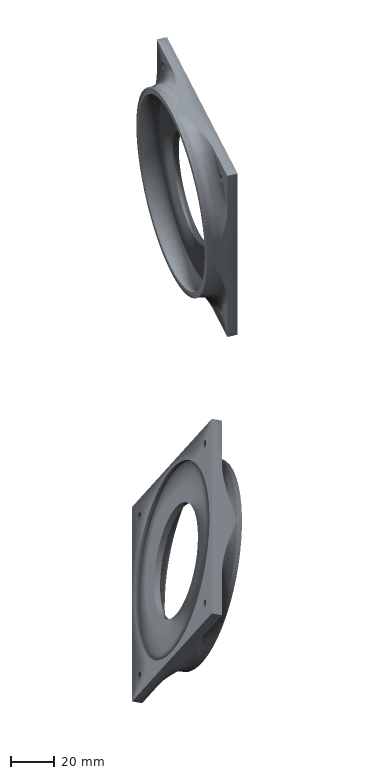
import cadquery as cq

side = 100.0
depth = 15.0
plate_thickness = 5.0
rim_height = 2.5
floor_thickness = 3.0
back_recess_depth = 2.0
rim_wall = 3.0
opening_diameter = 55.0
screw_diameter = 4.0
screw_spacing = 82.0

rim_radius = side / 2
flare_radius = depth - plate_thickness - rim_height
pocket_radius = rim_radius - rim_wall
back = depth / 2
front = -depth / 2
plate_front = back - plate_thickness
flare_start = front + rim_height
floor_back = back - back_recess_depth
floor_front = floor_back - floor_thickness


def square_block():
    """Square envelope that trims the flare flush with the plate sides."""
    return cq.Workplane("XY").box(side, depth, side)


def square_plate():
    center_y = back - plate_thickness / 2
    return cq.Workplane("XY").box(side, plate_thickness, side).translate((0, center_y, 0))


def flared_rim():
    """Round rim that sweeps out onto the plate through a concave quarter arc."""
    arc_offset = flare_radius * (1 - 0.5 ** 0.5)
    profile = (
        cq.Workplane("XY")
        .moveTo(0, front)
        .lineTo(rim_radius, front)
        .lineTo(rim_radius, flare_start)
        .threePointArc(
            (rim_radius + arc_offset, plate_front - arc_offset),
            (rim_radius + flare_radius, plate_front),
        )
        .lineTo(rim_radius + flare_radius, back)
        .lineTo(0, back)
        .close()
    )
    return profile.revolve(360, (0, 0, 0), (0, 1, 0)).intersect(square_block())


def bore(radius, start, end):
    """Cylinder along Y between two depths, used as a cutter."""
    return cq.Workplane("XZ", origin=(0, end, 0)).circle(radius).extrude(end - start)


def screw_holes():
    return (
        cq.Workplane("XZ", origin=(0, back, 0))
        .rect(screw_spacing, screw_spacing, forConstruction=True)
        .vertices()
        .circle(screw_diameter / 2)
        .extrude(depth)
    )


result = (
    square_plate()
    .union(flared_rim())
    .cut(bore(pocket_radius, front, floor_front))
    .cut(bore(pocket_radius, floor_back, back))
    .cut(bore(opening_diameter / 2, front, back))
    .cut(screw_holes())
)